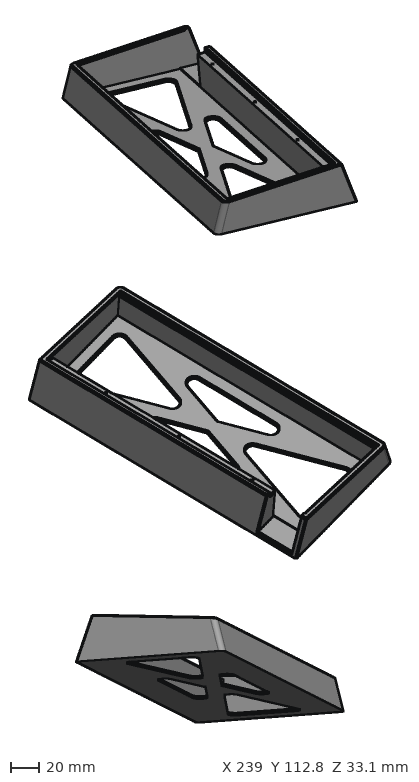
import cadquery as cq
import math

length = 239.0
depth = 112.8
back_height = 33.2
front_height = 24.9
back_lean = 12.2
front_lean = 6.5
front_corner_radius = 4.0
edge_bevel = 1.0

floor_thickness = 2.2
wall = 5.0
front_rim = 5.0
back_rim = 4.5
shelf_drop = 3.5
back_shelf = 6.0
front_shelf = 1.5
pin_hole_diameter = 1.6
pin_hole_depth = 2.5
pin_hole_spacing = 65.2

gap_right = -84.4
gap_floor = 2.9

openings_y = -2.5
openings_half_length = 105.0
side_half_width = 29.2
middle_half_width = 28.7
side_tip = 19.5
middle_tip = 6.2
opening_radius = 5.3

half_length = length / 2
half_depth = depth / 2
ridge_y = half_depth - back_lean
front_top_y = front_lean - half_depth
slope = (back_height - front_height) / (ridge_y - front_top_y)
cavity_half_length = half_length - wall
cavity_front = front_top_y + front_rim
shelf_back = ridge_y - back_rim
shelf_front = shelf_back - back_shelf


def rim_height(y):
    """Height of the sloping top plane at a given y."""
    return front_height + slope * (y - front_top_y)


def extrude_along_x(points, x_start, x_end):
    """Prism with a (y, z) profile between two x positions."""
    return cq.Workplane("YZ", origin=(x_start, 0, 0)).polyline(points).close().extrude(x_end - x_start)


def make_body():
    profile = [
        (-half_depth, 0),
        (half_depth, 0),
        (ridge_y, back_height),
        (front_top_y, front_height),
    ]
    body = extrude_along_x(profile, -half_length, half_length)
    front_corners = body.faces("<Y").edges("<X or >X")
    body = front_corners.fillet(front_corner_radius)
    back_corners = body.faces(">Y").edges("<X or >X")
    body = back_corners.chamfer(edge_bevel)
    return body.faces(">Z").edges().chamfer(edge_bevel)


def below_rim(y, drop):
    """(y, z) of a point at a distance below the rim, measured square to the sloping rim."""
    scale = drop / math.hypot(1, slope)
    return y + slope * scale, rim_height(y) - scale


def down_to_floor(y):
    """(y, z) where a line square to the rim, starting at y on the rim, meets the floor."""
    return y + slope * (rim_height(y) - floor_thickness), floor_thickness


def make_cavity():
    """Space inside the walls, cut square to the sloping rim with a shelf at front and back."""
    above_rim = -2.5
    profile = [
        below_rim(cavity_front, above_rim),
        below_rim(cavity_front, shelf_drop),
        below_rim(cavity_front + front_shelf, shelf_drop),
        down_to_floor(cavity_front + front_shelf),
        down_to_floor(shelf_front),
        below_rim(shelf_front, shelf_drop),
        below_rim(shelf_back, shelf_drop),
        below_rim(shelf_back, above_rim),
    ]
    return extrude_along_x(profile, -cavity_half_length, cavity_half_length)


def make_rim_bevel():
    """Bevel around the inner edge of the rim, as a tapered cutter on the sloping plane."""
    span = (shelf_back - cavity_front) * math.hypot(1, slope)
    middle_y = (shelf_back + cavity_front) / 2
    plane = cq.Plane(
        origin=(0, middle_y, rim_height(middle_y)),
        xDir=(1, 0, 0),
        normal=(0, slope, -1),
    )
    return (
        cq.Workplane(plane)
        .rect(2 * (cavity_half_length + edge_bevel), span + 2 * edge_bevel)
        .extrude(edge_bevel, taper=45)
    )


def make_gap():
    """Cutter that opens the back wall between the left wall and the gap's end face."""
    gap_overlap = 3.5
    gap_length = gap_right + cavity_half_length
    return cq.Workplane("XY").box(gap_length, half_depth, back_height, centered=False).translate(
        (-cavity_half_length, shelf_front - gap_overlap, gap_floor)
    )


def make_pin_holes():
    y = (shelf_front + shelf_back) / 2
    bottom = rim_height(y) - shelf_drop - pin_hole_depth
    return (
        cq.Workplane("XY", origin=(0, y, bottom))
        .pushPoints([(-pin_hole_spacing, 0), (0, 0), (pin_hole_spacing, 0)])
        .circle(pin_hole_diameter / 2)
        .extrude(back_height)
    )


def make_opening(points, rounded_corners=None):
    """Triangular opening with rounded corners, by default all of them."""
    opening = cq.Workplane("XY").polyline(points).close().extrude(floor_thickness)
    corners = opening.edges("|Z")
    if rounded_corners:
        corners = corners.edges(rounded_corners)
    return corners.fillet(opening_radius)


def cut_openings(body):
    side_slope = side_half_width / (openings_half_length - side_tip)
    middle_half_length = (middle_half_width - middle_tip) / side_slope
    for side in (-1, 1):
        side_triangle = [
            (side * side_tip, 0),
            (side * openings_half_length, side_half_width),
            (side * openings_half_length, -side_half_width),
        ]
        middle_triangle = [
            (0, side * middle_tip),
            (middle_half_length, side * middle_half_width),
            (-middle_half_length, side * middle_half_width),
        ]
        body = body.cut(make_opening(side_triangle).translate((0, openings_y, 0)))
        body = body.cut(make_opening(middle_triangle, "<X or >X").translate((0, openings_y, 0)))
    margin = 0.2
    bevel_zone = cq.selectors.BoxSelector(
        (-openings_half_length - margin, openings_y - side_half_width - margin, floor_thickness - margin),
        (openings_half_length + margin, openings_y + side_half_width + margin, floor_thickness + margin),
    )
    return body.edges(bevel_zone).chamfer(edge_bevel)


def bevel_gap(body):
    """Bevel the gap's edges on the back face and the rest of its end face, except along the floor."""
    margin = 0.12
    end_face = cq.selectors.BoxSelector(
        (gap_right - margin, 0, gap_floor + margin),
        (gap_right + margin, half_depth, back_height),
    )
    back_edges = cq.selectors.BoxSelector(
        (-cavity_half_length - margin, ridge_y + 2.5, gap_floor - margin),
        (gap_right - margin, half_depth, back_height),
    )
    return body.edges(end_face + back_edges).chamfer(edge_bevel)


result = make_body().cut(make_cavity())
result = cut_openings(result)
result = bevel_gap(result.cut(make_gap()))
result = result.cut(make_rim_bevel()).cut(make_pin_holes())